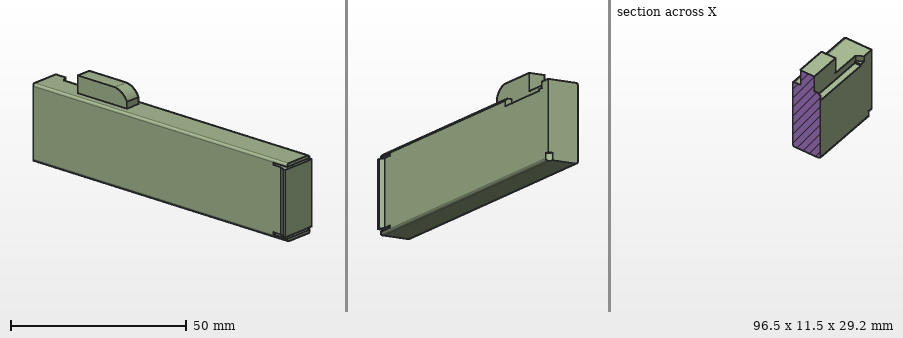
import cadquery as cq

length = 96.5
overall_depth = 11.5
overall_height = 29.2
clip_front = 0.8
clip_back = 0.9
depth = overall_depth - clip_front - clip_back
height = 23.8
edge_radius = 0.8

tab_start = 14.6
tab_length = 18.7
tab_depth = 5.0
tab_height = overall_height - height
tab_round_length = 4.7
tab_round_drop = 3.3
tab_round_radius = 5.8
tab_back_inset = 2.1

top_recess_start = 3.7
top_recess_slant = 1.2
top_recess_end = 24.8
top_recess_drop = 2.4
top_recess_ledge_end = 5.3
top_recess_ledge_height = 0.5

notch_length = 1.4
notch_depth = 1.5
notch_wall_radius = 1.9
notch_height = 2.2

slot_length = 5.3
slot_inset = 1.0
slot_height = 0.7
clip_ramp_start = 94.1
clip_ramp_end = 95.6
clip_inset = slot_inset + slot_height


def box(x, y, z, dx, dy, dz):
    """Box with its lowest corner at (x, y, z)."""
    return cq.Workplane("XY").box(dx, dy, dz, centered=False).translate((x, y, z))


def make_body():
    """Block with rounded long edges; the top back one is chamfered beyond the recess."""
    body = (
        box(0, 0, 0, length, depth, height)
        .edges("|X and (<Y or <Z)")
        .fillet(edge_radius)
        .edges("|X and >Y and >Z")
        .chamfer(edge_radius)
    )
    square_edge = box(
        0, depth - edge_radius, height - edge_radius, top_recess_end, edge_radius, edge_radius
    )
    return body.union(square_edge)


def make_tab():
    """Upright bar rooted in the body, rounded at the top of its right end."""
    top = height + tab_height
    tab_end = tab_start + tab_length
    profile = (
        cq.Workplane("XZ", origin=(0, depth - tab_back_inset, 0))
        .moveTo(tab_start, height - edge_radius)
        .lineTo(tab_start, top)
        .lineTo(tab_end - tab_round_length, top)
        .radiusArc((tab_end, top - tab_round_drop), tab_round_radius)
        .lineTo(tab_end, height - edge_radius)
        .close()
    )
    return profile.extrude(tab_depth)


def make_top_recess():
    """Recess with a slanted left wall and a low ledge at the foot of that wall."""
    inner_y = depth - tab_back_inset
    floor = height - top_recess_drop
    pocket = (
        cq.Workplane("XY", origin=(0, 0, floor))
        .polyline([
            (top_recess_start, depth),
            (top_recess_start + top_recess_slant, inner_y),
            (top_recess_end, inner_y),
            (top_recess_end, depth),
        ])
        .close()
        .extrude(top_recess_drop)
    )
    ledge = box(0, inner_y, floor, top_recess_ledge_end, tab_back_inset, top_recess_ledge_height)
    return pocket.cut(ledge)


def make_bottom_notch():
    """Corner notch whose end wall curves back towards the rear face."""
    return (
        cq.Workplane("XY")
        .moveTo(0, depth - notch_depth)
        .radiusArc((notch_length, depth), -notch_wall_radius)
        .lineTo(0, depth)
        .close()
        .extrude(notch_height)
    )


def make_clips():
    """Ramped lips on the front and back faces between the slots."""
    return (
        cq.Workplane("XY", origin=(0, 0, clip_inset))
        .polyline([
            (clip_ramp_start, 0),
            (clip_ramp_end, -clip_front),
            (length, -clip_front),
            (length, depth + clip_back),
            (clip_ramp_end, depth + clip_back),
            (clip_ramp_start, depth),
        ])
        .close()
        .extrude(height - 2 * clip_inset)
    )


result = make_body().union(make_tab()).cut(make_top_recess()).cut(make_bottom_notch())
for slot_bottom in (slot_inset, height - clip_inset):
    result = result.cut(box(length - slot_length, 0, slot_bottom, slot_length, depth, slot_height))
result = result.union(make_clips())